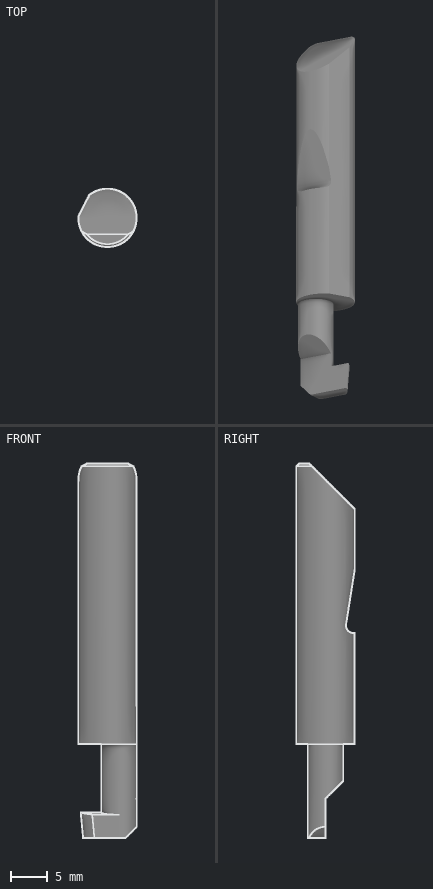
import cadquery as cq
import math

shank_diameter = 7.9375
shank_radius = shank_diameter / 2
overall_length = 50.8
neck_length = 12.75
cutter_size = 2 * overall_length

top_chamfer = 0.4
top_land_y = -2.2
top_slope_angle = 45.0

flat_normal_angle = 153.0
flat_distance = 3.62

notch_shelf_z = 27.83
notch_ramp_angle = 9.0
notch_corner_radius = 1.0
notch_ramp_top_z = 36.35

neck_diameter = 4.83
neck_radius = neck_diameter / 2
neck_center_x = shank_radius - neck_radius
rake_top_z = 5.35
rake_runout_angle = 45.0
heel_chamfer = 1.55

head_height = 3.5
head_top_relief = 0.3
head_reach = -3.65
head_front_x = -2.1
side_bulge = 0.2
side_taper = 0.33


def make_shank():
    shank = (
        cq.Workplane("XY", origin=(0, 0, neck_length))
        .circle(shank_radius)
        .extrude(overall_length - neck_length)
        .faces(">Z")
        .chamfer(top_chamfer)
    )
    return shank.cut(make_flat_cutter()).cut(make_top_cutter()).cut(make_notch_cutter())


def make_flat_cutter():
    return (
        cq.Workplane("XY")
        .center(flat_distance + shank_radius, 0)
        .rect(shank_diameter, cutter_size)
        .extrude(cutter_size)
        .rotate((0, 0, 0), (0, 0, 1), flat_normal_angle)
    )


def make_top_cutter():
    run = shank_diameter
    drop = run * math.tan(math.radians(top_slope_angle))
    return (
        cq.Workplane("YZ")
        .moveTo(top_land_y, overall_length)
        .lineTo(top_land_y + run, overall_length - drop)
        .lineTo(top_land_y + run, overall_length)
        .close()
        .extrude(shank_diameter, both=True)
    )


def make_notch_cutter():
    ramp_slope = math.tan(math.radians(notch_ramp_angle))
    floor_y = shank_radius - (notch_ramp_top_z - notch_shelf_z) * ramp_slope
    outer_y = shank_diameter
    outer_z = notch_ramp_top_z + (outer_y - shank_radius) / ramp_slope
    return (
        cq.Workplane("YZ")
        .moveTo(floor_y, notch_shelf_z)
        .lineTo(outer_y, notch_shelf_z)
        .lineTo(outer_y, outer_z)
        .close()
        .extrude(shank_diameter, both=True)
        .edges("|X and <Y")
        .fillet(notch_corner_radius)
    )


def make_neck():
    neck = cq.Workplane("XY").center(neck_center_x, 0).circle(neck_radius).extrude(neck_length)
    runout_rise = neck_radius * math.tan(math.radians(rake_runout_angle))
    rake_cutter = (
        cq.Workplane("YZ")
        .polyline([(0, 0), (neck_radius, 0), (neck_radius, rake_top_z + runout_rise), (0, rake_top_z)])
        .close()
        .extrude(shank_diameter, both=True)
    )
    heel_cutter = (
        cq.Workplane("XZ")
        .polyline([(shank_radius, 0), (shank_radius - heel_chamfer, 0), (shank_radius, heel_chamfer)])
        .close()
        .extrude(shank_diameter, both=True)
    )
    return neck.cut(rake_cutter).cut(heel_cutter)


def head_section(workplane, shift):
    """Head outline with its bowed side face moved toward +X by shift."""
    middle_x = (head_reach + head_front_x) / 2
    chord = math.hypot(head_front_x - head_reach, neck_radius)
    bow_x = middle_x - side_bulge * neck_radius / chord
    bow_y = -neck_radius / 2 - side_bulge * (head_front_x - head_reach) / chord
    return (
        workplane.moveTo(neck_center_x, 0)
        .lineTo(head_reach + shift, 0)
        .threePointArc((bow_x + shift, bow_y), (head_front_x + shift, -neck_radius))
        .lineTo(neck_center_x, -neck_radius)
        .close()
    )


def make_head():
    bottom = head_section(cq.Workplane("XY"), side_taper)
    head = head_section(bottom.workplane(offset=head_height), 0).loft(ruled=True)
    relief_cutter = (
        cq.Workplane("YZ")
        .moveTo(0, head_height)
        .lineTo(-neck_radius, head_height)
        .lineTo(-neck_radius, head_height - head_top_relief)
        .close()
        .extrude(shank_diameter, both=True)
    )
    return head.cut(relief_cutter)


result = make_shank().union(make_neck()).union(make_head())